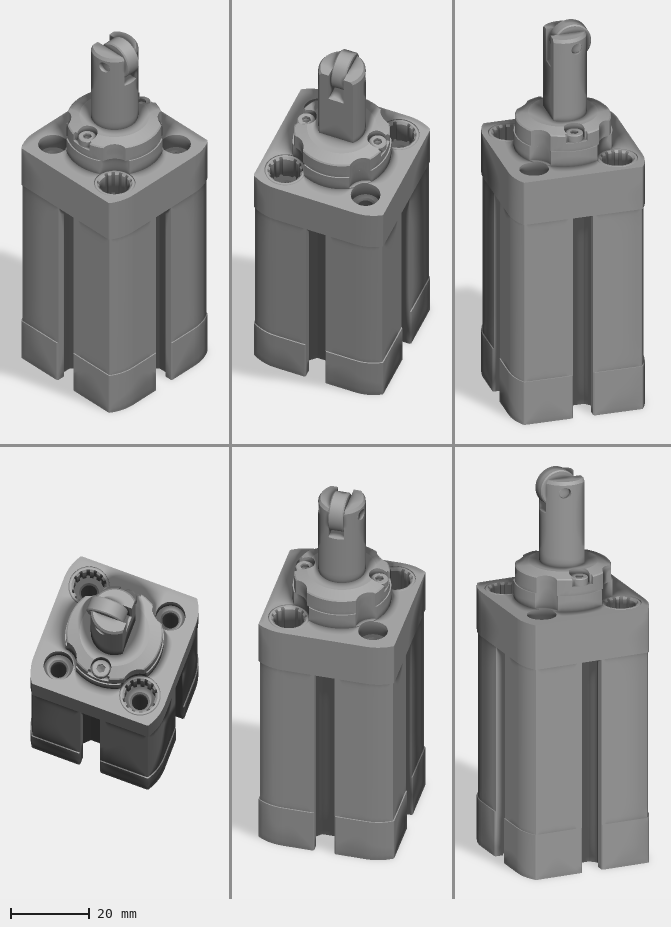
import cadquery as cq
import math

OVERALL_HEIGHT = 103.0
END_BLOCK_HEIGHT = 12.0
HEAD_BOTTOM_Z = 56.5
HEAD_TOP_Z = 68.5
FLANGE_TOP_Z = 72.7
CAP_TOP_Z = 78.1

HOUSING_WIDTH = 35.5
TUBE_INSET = 0.3
SIDE_FLAT_HALF = 11.0
CORNER_ARC_RADIUS = 12.0
CORNER_FILLET = 0.5
FLANGE_DIAMETER = 25.0

SLOT_MOUTH_WIDTH = 6.0
SLOT_NECK_WIDTH = 5.4
SLOT_NECK_DEPTH = 2.3
SLOT_INNER_WIDTH = 7.8
SLOT_BEVEL_DEPTH = 5.6
SLOT_DEPTH = 7.1

HOLE_OFFSET = 11.0
THROUGH_HOLE_DIAMETER = 4.1
HOLE_ENTRY_DIAMETER = 5.0
PLAIN_BORE_DIAMETER = 7.5
PLAIN_BORE_DEPTH = 4.0
PLAIN_FLANGE_CLEARANCE = 9.3
PLAIN_CLEARANCE_RAISE = 0.3
SPLINE_ROOT_DIAMETER = 9.0
SPLINE_GROOVES = 16
SPLINE_BORE_DEPTH = 6.7
SPLINE_TIP_DIAMETER = 7.8
SPLINE_BEVEL_DEPTH = 0.5
GROOVE_INNER_DIAMETER = 10.0
GROOVE_OUTER_DIAMETER = 10.5
GROOVE_DEPTH = 0.3

CAP_DIAMETER = 24.4
CAP_FLAT_DIAMETER = 17.7
CAP_RIM_Z = 77.1
CAP_RIM_CHAMFER = 0.3
CAP_CORNER_CUT_DIAMETER = 9.3
SCREW_OFFSET = 9.8
SCREW_SEAT_Z = 74.9
SCREW_HEAD_DIAMETER = 4.5
SCREW_HEAD_HEIGHT = 2.0
SCREW_HEAD_CHAMFER = 0.2
SCREW_POCKET_DIAMETER = 5.3
SCREW_SHANK_DIAMETER = 2.5
POCKET_MOUTH_WIDTH = 5.8
POCKET_MOUTH_START = 11.1
SOCKET_ACROSS_FLATS = 2.1
SOCKET_DEPTH = 0.9
SOCKET_CONE_DEPTH = 0.5

ROD_DIAMETER = 12.0
ROD_FLAT_X = -3.9
ROD_TOP_Z = 100.9
ROD_CHAMFER = 0.5
ROD_CHAMFER_HEIGHT = 0.8
FORK_WIDTH = 4.1
FORK_FLOOR_Z = 92.1
ROLLER_X = 2.0
ROLLER_DIAMETER = 10.0
ROLLER_WIDTH = 3.9
ROLLER_CHAMFER = 0.3
ROLLER_Z = OVERALL_HEIGHT - ROLLER_DIAMETER / 2
PIN_HOLE_DIAMETER = 3.0
PIN_CHAMFER = 0.15
PIN_LENGTH = 10.0


def cylinder(diameter, bottom, top, x=0.0, y=0.0):
    return cq.Workplane("XY", origin=(x, y, bottom)).circle(diameter / 2).extrude(top - bottom)


def cone(bottom_diameter, top_diameter, bottom, top, x=0.0, y=0.0):
    solid = cq.Solid.makeCone(bottom_diameter / 2, top_diameter / 2, top - bottom, cq.Vector(x, y, bottom))
    return cq.Workplane(solid)


def block(bottom, top, inset=0.0):
    """Square block whose corners are wide arcs, tangent to the X sides and rounded into the Y sides."""
    half = HOUSING_WIDTH / 2
    center_x = half - CORNER_ARC_RADIUS
    center_y = SIDE_FLAT_HALF

    def arc_point(height):
        rise = height - center_y
        return center_x + math.sqrt(CORNER_ARC_RADIUS**2 - rise**2), height

    mid_y = (center_y + half) / 2
    end_x, _ = arc_point(half)
    mid_x, _ = arc_point(mid_y)
    outline = (
        cq.Workplane("XY", origin=(0, 0, bottom))
        .moveTo(-end_x, half)
        .lineTo(end_x, half)
        .threePointArc((mid_x, mid_y), (half, center_y))
        .lineTo(half, -center_y)
        .threePointArc((mid_x, -mid_y), (end_x, -half))
        .lineTo(-end_x, -half)
        .threePointArc((-mid_x, -mid_y), (-half, -center_y))
        .lineTo(-half, center_y)
        .threePointArc((-mid_x, mid_y), (-end_x, half))
        .close()
    )
    if inset:
        outline = outline.offset2D(-inset)
    solid = outline.extrude(top - bottom)
    return solid.edges("|Z and (>Y or <Y)").fillet(CORNER_FILLET - inset)


def sensor_slots():
    """T-shaped slots with bevelled mouths and floors, one in the middle of each side."""
    side = HOUSING_WIDTH / 2
    mouth = SLOT_MOUTH_WIDTH / 2
    neck = SLOT_NECK_WIDTH / 2
    inner = SLOT_INNER_WIDTH / 2
    floor = inner - (SLOT_DEPTH - SLOT_BEVEL_DEPTH)
    slot = (
        cq.Workplane("XY")
        .moveTo(side, mouth)
        .lineTo(side - (mouth - neck), neck)
        .lineTo(side - SLOT_NECK_DEPTH, neck)
        .lineTo(side - SLOT_NECK_DEPTH, inner)
        .lineTo(side - SLOT_BEVEL_DEPTH, inner)
        .lineTo(side - SLOT_DEPTH, floor)
        .lineTo(side - SLOT_DEPTH, 0)
        .lineTo(side, 0)
        .close()
        .extrude(HEAD_BOTTOM_Z)
    )
    slot = slot.union(slot.mirror("XZ"))
    slots = slot
    for turn in (90, 180, 270):
        slots = slots.union(slot.rotate((0, 0, 0), (0, 0, 1), turn))
    return slots


def through_hole(x, y, entry_z):
    """Plain hole through the housing, countersunk where it opens at entry_z."""
    sink = (HOLE_ENTRY_DIAMETER - THROUGH_HOLE_DIAMETER) / 2
    hole = cylinder(THROUGH_HOLE_DIAMETER, 0, entry_z, x, y)
    return hole.union(cone(THROUGH_HOLE_DIAMETER, HOLE_ENTRY_DIAMETER, entry_z - sink, entry_z, x, y))


def plain_corner_hole(x, y):
    """Bore with a wider clearance cut into the flange, leaving a low ledge."""
    floor_z = HEAD_TOP_Z - PLAIN_BORE_DEPTH
    ledge_z = HEAD_TOP_Z + PLAIN_CLEARANCE_RAISE
    return (
        cylinder(PLAIN_BORE_DIAMETER, floor_z, FLANGE_TOP_Z, x, y)
        .union(cylinder(PLAIN_FLANGE_CLEARANCE, ledge_z, FLANGE_TOP_Z, x, y))
        .union(through_hole(x, y, floor_z))
    )


def rim_groove(x, y):
    """Ring groove around a splined bore, with a sloping inner wall."""
    bottom = HEAD_TOP_Z - GROOVE_DEPTH
    ring = cylinder(GROOVE_OUTER_DIAMETER, bottom, HEAD_TOP_Z, x, y)
    return ring.cut(cone(GROOVE_OUTER_DIAMETER, GROOVE_INNER_DIAMETER, bottom, HEAD_TOP_Z, x, y))


def splined_corner_hole(x, y):
    """Bore with evenly spaced internal bevelled teeth inside a ring groove."""
    floor_z = HEAD_TOP_Z - SPLINE_BORE_DEPTH
    bevel_z = HEAD_TOP_Z - SPLINE_BEVEL_DEPTH
    groove_width = math.pi * SPLINE_ROOT_DIAMETER / SPLINE_GROOVES / 2
    half_pitch = 180 / SPLINE_GROOVES
    grooves = (
        cq.Workplane("XY", origin=(x, y, floor_z))
        .polarArray(0, half_pitch, 180, SPLINE_GROOVES // 2)
        .rect(SPLINE_ROOT_DIAMETER, groove_width)
        .extrude(SPLINE_BORE_DEPTH)
        .intersect(cylinder(SPLINE_ROOT_DIAMETER, floor_z, HEAD_TOP_Z, x, y))
    )
    return (
        cylinder(SPLINE_TIP_DIAMETER, floor_z, HEAD_TOP_Z, x, y)
        .union(grooves)
        .union(cone(SPLINE_TIP_DIAMETER, SPLINE_ROOT_DIAMETER, bevel_z, HEAD_TOP_Z, x, y))
        .union(rim_groove(x, y))
        .union(cylinder(GROOVE_OUTER_DIAMETER, HEAD_TOP_Z, FLANGE_TOP_Z, x, y))
        .union(through_hole(x, y, floor_z))
    )


def make_housing():
    """Slotted tube between two end blocks, with a round flange on top."""
    housing = (
        block(0, END_BLOCK_HEIGHT)
        .union(block(END_BLOCK_HEIGHT, HEAD_BOTTOM_Z, TUBE_INSET))
        .union(block(HEAD_BOTTOM_Z, HEAD_TOP_Z))
        .union(cylinder(FLANGE_DIAMETER, HEAD_TOP_Z, FLANGE_TOP_Z))
        .cut(sensor_slots())
    )
    for side in (-1, 1):
        offset = side * HOLE_OFFSET
        housing = housing.cut(plain_corner_hole(offset, offset))
        housing = housing.cut(splined_corner_hole(offset, -offset))
    return housing


def make_screw(y):
    """Socket head screw whose shank ends flush with the underside of the cap."""
    head_top = SCREW_SEAT_Z + SCREW_HEAD_HEIGHT
    socket_floor = head_top - SOCKET_DEPTH
    corner_diameter = SOCKET_ACROSS_FLATS / math.cos(math.pi / 6)
    socket = (
        cq.Workplane("XY", origin=(0, y, socket_floor))
        .transformed(rotate=(0, 0, 90))
        .polygon(6, corner_diameter)
        .extrude(SOCKET_DEPTH)
    )
    tip = cone(0, SOCKET_ACROSS_FLATS, socket_floor - SOCKET_CONE_DEPTH, socket_floor, 0, y)
    return (
        cylinder(SCREW_HEAD_DIAMETER, SCREW_SEAT_Z, head_top, 0, y)
        .faces(">Z")
        .chamfer(SCREW_HEAD_CHAMFER)
        .union(cylinder(SCREW_SHANK_DIAMETER, FLANGE_TOP_Z, SCREW_SEAT_Z, 0, y))
        .cut(socket)
        .cut(tip)
    )


def make_cap():
    """Low conical cap with corner cuts, two open screw pockets and an opening for the rod."""
    radius = CAP_DIAMETER / 2
    cap = (
        cq.Workplane("XZ")
        .moveTo(0, FLANGE_TOP_Z)
        .lineTo(radius, FLANGE_TOP_Z)
        .lineTo(radius, CAP_RIM_Z - CAP_RIM_CHAMFER)
        .lineTo(radius - CAP_RIM_CHAMFER, CAP_RIM_Z)
        .lineTo(CAP_FLAT_DIAMETER / 2, CAP_TOP_Z)
        .lineTo(0, CAP_TOP_Z)
        .close()
        .revolve(360, (0, 0, 0), (0, 1, 0))
    )
    for x in (-HOLE_OFFSET, HOLE_OFFSET):
        for y in (-HOLE_OFFSET, HOLE_OFFSET):
            cap = cap.cut(cylinder(CAP_CORNER_CUT_DIAMETER, FLANGE_TOP_Z, CAP_TOP_Z, x, y))
    pocket_height = CAP_TOP_Z - SCREW_SEAT_Z
    mouth_length = radius - POCKET_MOUTH_START
    for side in (-1, 1):
        y = side * SCREW_OFFSET
        mouth_y = side * (POCKET_MOUTH_START + mouth_length / 2)
        mouth = cq.Workplane("XY", origin=(0, mouth_y, SCREW_SEAT_Z + pocket_height / 2))
        cap = (
            cap.cut(cylinder(SCREW_POCKET_DIAMETER, SCREW_SEAT_Z, CAP_TOP_Z, 0, y))
            .cut(cylinder(SCREW_SHANK_DIAMETER, FLANGE_TOP_Z, SCREW_SEAT_Z, 0, y))
            .cut(mouth.box(POCKET_MOUTH_WIDTH, mouth_length, pocket_height))
        )
    return cap.cut(rod_bar(FLANGE_TOP_Z, CAP_TOP_Z))


def rod_bar(bottom, top):
    """Bar along Z, round apart from one flat facing -X."""
    radius = ROD_DIAMETER / 2
    half_flat = math.sqrt(radius**2 - ROD_FLAT_X**2)
    return (
        cq.Workplane("XY", origin=(0, 0, bottom))
        .moveTo(ROD_FLAT_X, -half_flat)
        .threePointArc((radius, 0), (ROD_FLAT_X, half_flat))
        .close()
        .extrude(top - bottom)
    )


def cross_cylinder(diameter, length):
    """Cylinder along Y on the roller axis, centred on the rod."""
    axis = cq.Workplane("XZ", origin=(ROLLER_X, length / 2, ROLLER_Z))
    return axis.circle(diameter / 2).extrude(length)


def make_rod():
    """Flatted bar forked at the top, with a cross hole for the roller pin."""
    taper_z = ROD_TOP_Z - ROD_CHAMFER_HEIGHT
    tapered_end = cone(ROD_DIAMETER, ROD_DIAMETER - 2 * ROD_CHAMFER, taper_z, ROD_TOP_Z)
    round_end = cylinder(ROD_DIAMETER, FLANGE_TOP_Z, taper_z).union(tapered_end)
    fork_height = ROD_TOP_Z - FORK_FLOOR_Z
    fork = cq.Workplane("XY", origin=(0, 0, FORK_FLOOR_Z + fork_height / 2))
    return (
        rod_bar(FLANGE_TOP_Z, ROD_TOP_Z)
        .intersect(round_end)
        .cut(fork.box(ROD_DIAMETER, FORK_WIDTH, fork_height))
        .cut(cross_cylinder(PIN_HOLE_DIAMETER, ROD_DIAMETER))
    )


def make_roller():
    """Roller with its pin as one piece."""
    wheel = cross_cylinder(ROLLER_DIAMETER, ROLLER_WIDTH).edges().chamfer(ROLLER_CHAMFER)
    return wheel.union(cross_cylinder(PIN_HOLE_DIAMETER, PIN_LENGTH).edges().chamfer(PIN_CHAMFER))


housing = make_housing()
cap = make_cap()
screws = [make_screw(side * SCREW_OFFSET) for side in (-1, 1)]
rod = make_rod()
roller = make_roller()

result = cq.Compound.makeCompound(
    [housing.val(), cap.val(), rod.val(), roller.val(), *[screw.val() for screw in screws]]
)